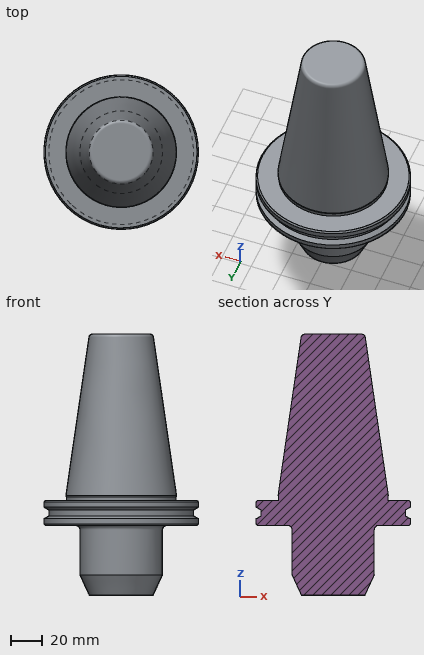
import cadquery as cq
import math

total_height = 164.8
nose_height = 12.9
flange_bottom = 44.0
flange_top = 59.8
gauge_height = 63.0

nose_radius = 20.1
shank_radius = 26.0
flange_radius = 48.8
groove_radius = 45.6
neck_radius = 34.6
gauge_radius = 35.0

taper_ratio = 7 / 24
top_fillet = 2.5
shank_fillet = 2.8
flange_chamfer = 1.0
neck_step_height = 1.0

groove_middle = 51.9
groove_floor_width = 3.6
groove_wall_angle = 30.0

half_floor = groove_floor_width / 2
groove_wall_rise = (flange_radius - groove_radius) * math.tan(math.radians(groove_wall_angle))
half_mouth = half_floor + groove_wall_rise
taper_end_radius = gauge_radius - (total_height - gauge_height) * taper_ratio / 2


def make_body():
    """Revolve the nose, shank, flange blank, neck and taper as one profile."""
    profile = (
        cq.Workplane("XZ")
        .lineTo(nose_radius, 0)
        .lineTo(shank_radius, nose_height)
        .lineTo(shank_radius, flange_bottom - shank_fillet)
        .radiusArc((shank_radius + shank_fillet, flange_bottom), shank_fillet)
        .lineTo(flange_radius - flange_chamfer, flange_bottom)
        .lineTo(flange_radius, flange_bottom + flange_chamfer)
        .lineTo(flange_radius, flange_top - flange_chamfer)
        .lineTo(flange_radius - flange_chamfer, flange_top)
        .lineTo(neck_radius, flange_top)
        .lineTo(neck_radius, gauge_height - neck_step_height)
        .lineTo(gauge_radius, gauge_height)
        .lineTo(taper_end_radius, total_height)
        .lineTo(0, total_height)
        .close()
    )
    body = profile.revolve(360, (0, 0, 0), (0, 1, 0))
    return body.faces(">Z").edges().fillet(top_fillet)


def make_groove():
    """Ring that cuts the V-groove with its flat floor."""
    profile = (
        cq.Workplane("XZ")
        .moveTo(groove_radius, groove_middle - half_floor)
        .lineTo(flange_radius, groove_middle - half_mouth)
        .lineTo(flange_radius, groove_middle + half_mouth)
        .lineTo(groove_radius, groove_middle + half_floor)
        .close()
    )
    return profile.revolve(360, (0, 0, 0), (0, 1, 0))


result = make_body().cut(make_groove())